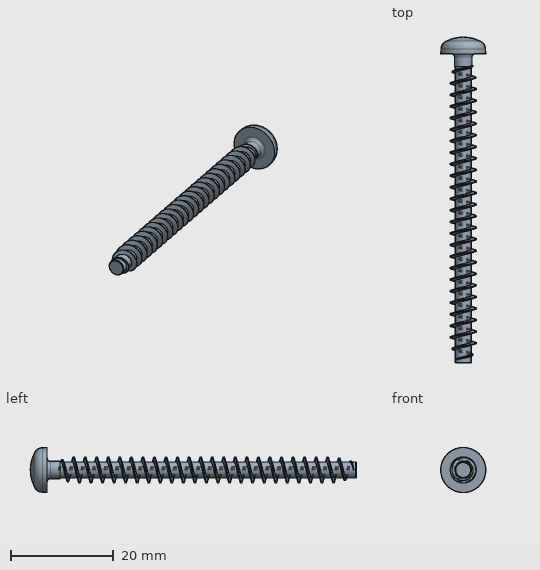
import cadquery as cq
import math


total_length = 63.35
head_height = 3.3
head_diameter = 8.8
head_radius = head_diameter / 2
rim_height = 0.95
rim_draft = 0.05
crown_height = 0.75
crown_radius = 3.15
shoulder_bulge = 0.3

neck_radius = 1.7
neck_length = 2.5
neck_fillet = 0.65
core_radius = 1.6
tip_chamfer = 0.1
core_end = head_height - total_length

crest_radius = 2.55
crest_width = 0.1
root_width = 0.7
root_sink = 0.25
first_crest_radius = 1.9
last_crest_radius = core_radius
thread_start = -2.35
thread_length = 57.2
turns = 25.5
pitch = thread_length / turns
run_in_turns = 1.2
run_out_turns = 1.5
points_per_turn = 20


def make_head_and_neck():
    """Solid of revolution holding the pan head and the filleted neck."""
    crown_base = head_height - crown_height
    rim_top_radius = head_radius - rim_draft
    crown_sphere = (crown_radius**2 + crown_height**2) / (2 * crown_height)
    half_angle = math.asin(crown_radius / crown_sphere) / 2
    crown_mid = (
        crown_sphere * math.sin(half_angle),
        head_height - crown_sphere * (1 - math.cos(half_angle)),
    )
    return (
        cq.Workplane("ZY")
        .moveTo(0, head_height)
        .threePointArc(crown_mid, (crown_radius, crown_base))
        .sagittaArc((rim_top_radius, rim_height), shoulder_bulge)
        .lineTo(head_radius, 0)
        .lineTo(neck_radius + neck_fillet, 0)
        .radiusArc((neck_radius, -neck_fillet), -neck_fillet)
        .lineTo(neck_radius, -neck_length)
        .lineTo(0, -neck_length)
        .close()
        .revolve(360, (0, 0, 0), (0, 1, 0))
    )


def make_core():
    """Cylinder that carries the thread, from the bearing face to the tip."""
    core = cq.Workplane("XZ").circle(core_radius).extrude(-core_end)
    return core.faces("<Y").chamfer(tip_chamfer)


def crest_radius_at(turn):
    """Crest radius, growing over the run-in and shrinking over the run-out."""
    run_in = min(1, turn / run_in_turns)
    run_out = min(1, (turns - turn) / run_out_turns)
    grown = first_crest_radius + (crest_radius - first_crest_radius) * run_in
    left = last_crest_radius + (crest_radius - last_crest_radius) * run_out
    return min(grown, left)


def helix_edge(radius_at, offset):
    """Helical edge at an axial offset from the middle of the thread profile."""

    def point(turn):
        angle = 2 * math.pi * turn
        radius = radius_at(turn)
        along = thread_start - pitch * turn + offset
        return (radius * math.cos(angle), along, radius * math.sin(angle))

    count = int(turns * points_per_turn)
    stations = [turns * i / count for i in range(count + 1)]
    return cq.Edge.makeSpline([cq.Vector(*point(turn)) for turn in stations], parameters=stations)


def make_thread():
    """Trapezoidal ridge bounded by four ruled helical faces and two flat ends."""
    base_radius = core_radius - root_sink

    def base_radius_at(turn):
        return base_radius

    edges = [
        helix_edge(base_radius_at, root_width / 2),
        helix_edge(crest_radius_at, crest_width / 2),
        helix_edge(crest_radius_at, -crest_width / 2),
        helix_edge(base_radius_at, -root_width / 2),
    ]
    faces = [cq.Face.makeRuledSurface(edges[i - 1], edges[i]) for i in range(len(edges))]
    starts = [edge.startPoint() for edge in edges]
    ends = [edge.endPoint() for edge in edges]
    for corners in (starts, ends):
        faces.append(cq.Face.makeFromWires(cq.Wire.makePolygon(corners, close=True)))
    return cq.Workplane(cq.Solid.makeSolid(cq.Shell.makeShell(faces)).fix())


threaded_core = make_core().union(make_thread())
result = threaded_core.union(make_head_and_neck()).solids()